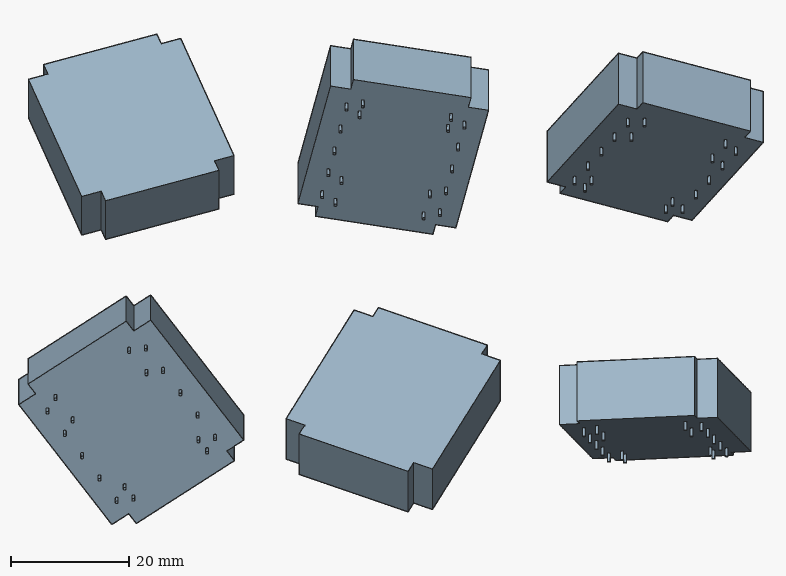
import cadquery as cq

length = 31.8
width = 27.32
total_height = 11.7
pin_length = 1.45
body_height = total_height - pin_length
notch_x = 2.23
notch_y = 3.5

pin_diameter = 0.5
pitch = 1.27
inner_row = 6
outer_row = 8
inner_row_columns = (-9, -5, 7, 9)
outer_row_columns = (-8, -4, 0, 4, 8)


def make_body():
    """Cross-shaped block: two overlapping boxes leave the corner notches."""
    long_box = cq.Workplane("XY").box(
        length, width - 2 * notch_y, body_height, centered=(True, True, False)
    )
    wide_box = cq.Workplane("XY").box(
        length - 2 * notch_x, width, body_height, centered=(True, True, False)
    )
    return long_box.union(wide_box).clean()


def pin_row(columns, row):
    """Pin centres of a row and its mirror image across the X axis."""
    return [
        (column * pitch, side * row * pitch)
        for side in (-1, 1)
        for column in columns
    ]


def make_pins():
    """Round pins hanging down from the underside at Z = 0."""
    centres = pin_row(inner_row_columns, inner_row) + pin_row(outer_row_columns, outer_row)
    return (
        cq.Workplane("XY")
        .pushPoints(centres)
        .circle(pin_diameter / 2)
        .extrude(-pin_length)
    )


result = make_body().union(make_pins())